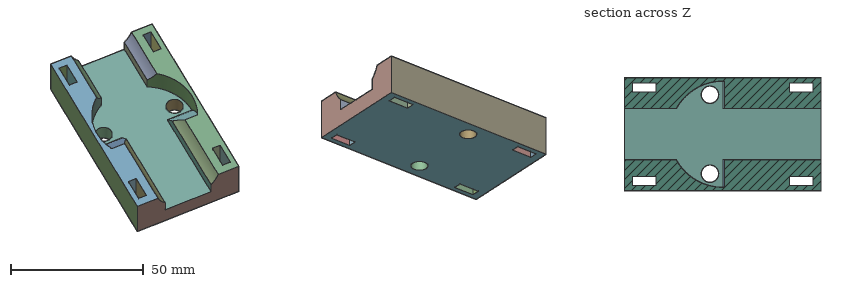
import cadquery as cq

length = 74.25
width = 42.7
height = 16.05

floor_height = 6.9
channel_width = 19.2
cradle_radius = 13.5
cradle_axis_height = 20.8

recess_radius = 20.0
ramp_run = 8.6
ramp_foot_height = height - ramp_run

hole_diameter = 6.45
hole_x = -4.8
hole_spacing = 29.8
slot_length = 8.75
slot_width = 3.3
slot_spacing_x = 59.1
slot_spacing_y = 35.3


def make_channel():
    groove = cq.Workplane("XY", origin=(0, 0, floor_height)).box(
        length, channel_width, height - floor_height, centered=(True, True, False)
    )
    cradle = (
        cq.Workplane("YZ", origin=(-length / 2, 0, 0))
        .center(0, cradle_axis_height)
        .circle(cradle_radius)
        .extrude(length)
    )
    return groove.union(cradle)


def make_recess():
    disc = (
        cq.Workplane("XY", origin=(0, 0, floor_height))
        .circle(recess_radius)
        .extrude(height - floor_height)
    )
    ramp_space = (
        cq.Workplane("XZ")
        .moveTo(-recess_radius, floor_height)
        .lineTo(0, floor_height)
        .lineTo(0, ramp_foot_height)
        .lineTo(ramp_run, height)
        .lineTo(-recess_radius, height)
        .close()
        .extrude(recess_radius, both=True)
    )
    return disc.intersect(ramp_space)


def make_holes():
    return (
        cq.Workplane("XY")
        .center(hole_x, 0)
        .rarray(0.75, hole_spacing, 1, 2)
        .circle(hole_diameter / 2)
        .extrude(height)
    )


def make_slots():
    return (
        cq.Workplane("XY")
        .rarray(slot_spacing_x, slot_spacing_y, 2, 2)
        .rect(slot_length, slot_width)
        .extrude(height)
    )


block = cq.Workplane("XY").box(length, width, height, centered=(True, True, False))
result = block.cut(make_channel()).cut(make_recess()).cut(make_holes()).cut(make_slots())